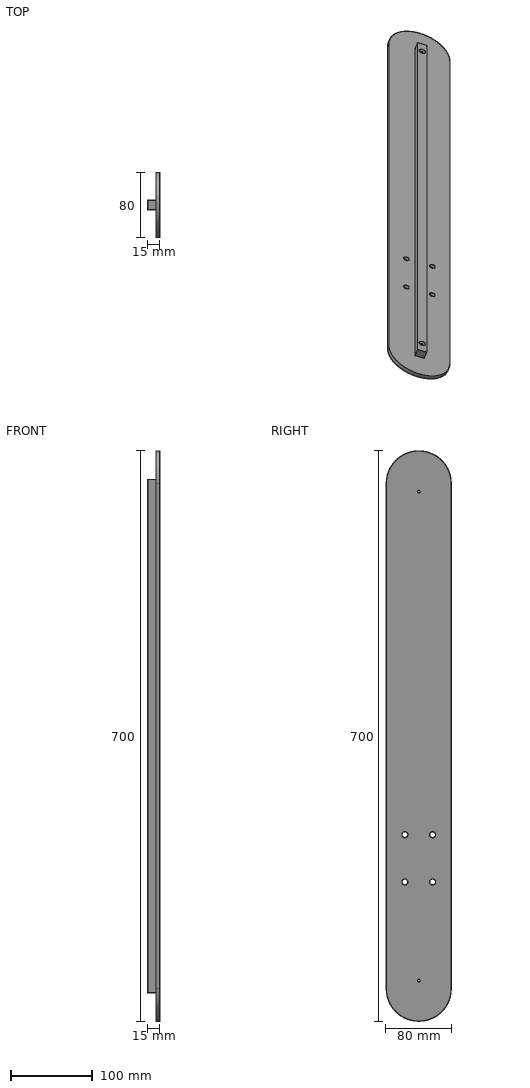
import cadquery as cq

PLATE_LENGTH = 700.0
PLATE_WIDTH = 80.0
PLATE_THICKNESS = 5.0

RAIL_LENGTH = 630.0
RAIL_WIDTH = 12.0
RAIL_HEIGHT = 10.0

SCREW_HOLE_DIAMETER = 3.0
SCREW_HOLE_END_DISTANCE = 15.0
COUNTERSINK_DIAMETER = 8.0
COUNTERSINK_ANGLE = 118.0

MOUNT_HOLE_DIAMETER = 7.0
MOUNT_SPACING_Y = 34.0
MOUNT_SPACING_Z = 58.0
MOUNT_CENTER_Z = -150.0

RAIL_FACE_X = -RAIL_HEIGHT
SCREW_HOLE_SPACING = RAIL_LENGTH - 2 * SCREW_HOLE_END_DISTANCE


def make_plate():
    """Round-ended plate extruded toward +X."""
    return cq.Workplane("YZ").slot2D(PLATE_LENGTH, PLATE_WIDTH, angle=90).extrude(PLATE_THICKNESS)


def make_rail():
    """Rectangular rail from its outer face back to the plate."""
    return (
        cq.Workplane("YZ", origin=(RAIL_FACE_X, 0, 0))
        .rect(RAIL_WIDTH, RAIL_LENGTH)
        .extrude(RAIL_HEIGHT)
    )


def cut_screw_holes(body):
    """Countersunk holes sunk from the rail's outer face."""
    return (
        body.faces("<X")
        .workplane(origin=(0, 0, 0))
        .rarray(1, SCREW_HOLE_SPACING, 1, 2)
        .cskHole(SCREW_HOLE_DIAMETER, COUNTERSINK_DIAMETER, COUNTERSINK_ANGLE)
    )


def make_mount_holes():
    """Cutters for the four holes through the plate."""
    return (
        cq.Workplane("YZ", origin=(0, 0, MOUNT_CENTER_Z))
        .rarray(MOUNT_SPACING_Y, MOUNT_SPACING_Z, 2, 2)
        .circle(MOUNT_HOLE_DIAMETER / 2)
        .extrude(PLATE_THICKNESS)
    )


body = make_plate().union(make_rail())
result = cut_screw_holes(body).cut(make_mount_holes())